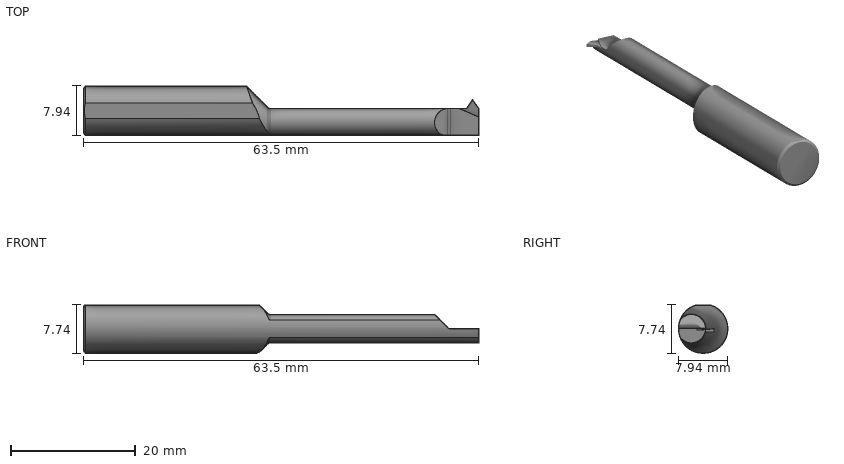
import cadquery as cq
import math

total_length = 63.5
shank_radius = 3.97
flat_height = 3.765
end_chamfer_length = 0.3
end_chamfer_depth = 0.4

neck_radius = 2.3
neck_axis_y = -1.9
neck_start = 29.8
shoulder_fillet = 0.5

seat_z = 0.0
seat_start = 58.7
ramp_fillet = 0.65

tooth_peak = (62.5, 1.8)
tooth_back_x = 61.5
tooth_root_y = neck_axis_y + neck_radius
tooth_thickness = 0.5

crease_start = (60.3, tooth_root_y)
crease_end = (total_length, -1.0)
groove_depth = 0.25
clearance = 1.3


def make_shank():
    blank = cq.Workplane("XY").polyline([
        (0, 0),
        (0, shank_radius - end_chamfer_depth),
        (end_chamfer_length, shank_radius),
        (total_length, shank_radius),
        (total_length, 0),
    ]).close().revolve(360, (0, 0, 0), (1, 0, 0))
    above_flat = cq.Workplane("XY").box(
        total_length, 2 * shank_radius, shank_radius, centered=(False, True, False)
    ).translate((0, 0, flat_height))
    return blank.cut(above_flat)


def make_neck_envelope():
    """Wide cylinder, 45 degree cone and neck, all about the neck axis."""
    wide_radius = 2 * shank_radius
    cone_start = neck_start - (wide_radius - neck_radius)
    tangent_length = shoulder_fillet * math.tan(math.pi / 8)
    tangent_leg = tangent_length * math.sqrt(0.5)
    arc_centre_x = neck_start + tangent_length
    arc_centre_y = neck_radius + shoulder_fillet
    arc_middle = (
        arc_centre_x - shoulder_fillet * math.sin(math.pi / 8),
        arc_centre_y - shoulder_fillet * math.cos(math.pi / 8),
    )
    profile = (
        cq.Workplane("XY", origin=(0, neck_axis_y, 0))
        .lineTo(0, wide_radius)
        .lineTo(cone_start, wide_radius)
        .lineTo(neck_start - tangent_leg, neck_radius + tangent_leg)
        .threePointArc(arc_middle, (arc_centre_x, neck_radius))
        .lineTo(total_length, neck_radius)
        .lineTo(total_length, 0)
        .close()
    )
    return profile.revolve(360, (0, 0, 0), (1, 0, 0))


def make_seat_cut():
    height = neck_radius + clearance
    cutter = cq.Workplane("XZ").polyline([
        (seat_start, seat_z),
        (seat_start - height, seat_z + height),
        (total_length + clearance, seat_z + height),
        (total_length + clearance, seat_z),
    ]).close().extrude(shank_radius + clearance, both=True)
    ramp_foot = cq.selectors.NearestToPointSelector((seat_start, 0, seat_z))
    return cutter.edges("|Y").edges(ramp_foot).fillet(ramp_fillet)


def make_tooth():
    return cq.Workplane("XY", origin=(0, 0, seat_z)).polyline([
        (tooth_back_x, tooth_root_y),
        tooth_peak,
        (total_length, tooth_root_y),
        (total_length, neck_axis_y),
        (tooth_back_x, neck_axis_y),
    ]).close().extrude(-tooth_thickness)


def make_rake_cut():
    """Wedge running along the crease, deepest at the crease."""
    run_x = crease_end[0] - crease_start[0]
    run_y = crease_end[1] - crease_start[1]
    run = math.hypot(run_x, run_y)
    peak_x = tooth_peak[0] - crease_start[0]
    peak_y = tooth_peak[1] - crease_start[1]
    peak_distance = (run_x * peak_y - run_y * peak_x) / run
    section = cq.Plane(
        origin=(*crease_start, seat_z), xDir=(-run_y, run_x, 0), normal=(run_x, run_y, 0)
    )
    wedge = cq.Workplane(section).polyline([
        (0, 0),
        (0, -groove_depth),
        (peak_distance, 0),
    ]).close()
    return wedge.extrude(run + clearance)


result = (
    make_shank()
    .intersect(make_neck_envelope())
    .cut(make_seat_cut())
    .union(make_tooth())
    .cut(make_rake_cut())
)